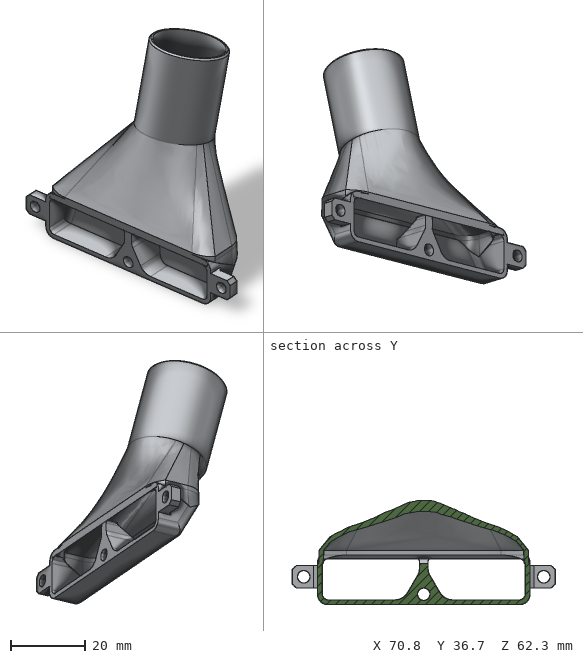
import cadquery as cq
import math

overall_width = 70.8
body_half_width = 28.6
lean_angle = 30.0
floor_depth = 7.9
flange_height = 14.1
wall = 1.3
front_corner_radius = 2.8
back_edge_radius = 3.0
heel_radius = 1.8

collar_bottom = 13.3
collar_top = 14.6
collar_depth = 15.5
collar_half_width = 28.2
collar_back_radius = 6.0
collar_front_flat = 22.1
collar_front_setback = 2.4

tube_tilt = 15.0
tube_outer_radius = 11.0
tube_inner_radius = 10.0
tube_length = 25.0
tube_chamfer = 0.5
tube_base_y = 19.69
tube_base_z = 35.4
front_seam_angle = 18.0
back_seam_angle = 25.0
side_seam_angle = 6.0

screw_diameter = 3.3
ear_hole_x = 32.3
ear_center_z = 7.5
ear_height = 6.1
ear_thickness = 2.9
ear_corner_chamfer = 1.1
ear_root_chamfer = 1.0
center_hole_z = 2.8

opening_top = 12.3
opening_corner_radius = 1.6
divider_half_width = 1.2
divider_knee_z = 8.7
divider_flare_angle = 30.0
divider_foot_radius = 4.0
divider_knee_radius = 3.0
divider_top_radius = 0.6

front_wall = (flange_height - opening_top) / 2
lean = math.tan(math.radians(lean_angle))
lean_sin = math.sin(math.radians(lean_angle))
lean_cos = math.cos(math.radians(lean_angle))
shoulder_y = (floor_depth + flange_height * lean) * lean_cos**2
shoulder_z = flange_height - shoulder_y * lean
corner_mid = math.sqrt(0.5)
pick_margin = 0.1


def leaning_block(inset, edge_radius):
    """Box with a vertical front and a leaning back, rounded along its back edges."""
    half_width = body_half_width - inset
    back_at_floor = floor_depth - inset / lean_cos + inset * lean
    back_at_top = back_at_floor + (collar_top - inset) * lean
    side_outline = [(0, inset), (back_at_floor, inset), (back_at_top, collar_top), (0, collar_top)]
    return (
        cq.Workplane("YZ")
        .polyline(side_outline)
        .close()
        .extrude(half_width, both=True)
        .edges("not(|X or |Y or |Z)")
        .edges(">Y")
        .fillet(edge_radius)
    )


def below_slant(front_inset):
    """Space under the plane square to the back wall, behind the sloping front wall."""
    side_outline = [
        (0, 0),
        (flange_height / lean, 0),
        (front_inset * lean_cos, flange_height - front_inset * lean_sin),
    ]
    if front_inset > 0:
        side_outline.append((0, flange_height - 2 * front_inset))
    return cq.Workplane("YZ").polyline(side_outline).close().extrude(overall_width, both=True)


def mouth_outer():
    """Outside of the mouth, rounded around its front outline and along its heel."""
    outline = (
        cq.Workplane("XZ")
        .center(0, flange_height / 2)
        .rect(2 * body_half_width, flange_height)
        .extrude(-collar_depth)
        .edges("|Y")
        .fillet(front_corner_radius)
    )
    block = leaning_block(0, back_edge_radius)
    block = block.edges("|X").edges("<Z").edges(">Y").fillet(heel_radius)
    return block.intersect(outline).intersect(below_slant(0))


def section_wire(plane, half_width, front, back, front_flat, setback, radius):
    """Closed outline with shallow front corner arcs and round back corners."""
    corner_width = half_width - front_flat
    corner_radius = (corner_width**2 + setback**2) / (2 * setback)
    half_turn = math.asin(corner_width / corner_radius) / 2
    front_mid_x = front_flat + corner_radius * math.sin(half_turn)
    front_mid_y = front + corner_radius * (1 - math.cos(half_turn))
    back_mid_x = half_width - radius * (1 - corner_mid)
    back_mid_y = back - radius * (1 - corner_mid)
    return (
        cq.Workplane(plane)
        .moveTo(-front_flat, front)
        .lineTo(front_flat, front)
        .threePointArc((front_mid_x, front_mid_y), (half_width, front + setback))
        .lineTo(half_width, back - radius)
        .threePointArc((back_mid_x, back_mid_y), (half_width - radius, back))
        .lineTo(radius - half_width, back)
        .threePointArc((-back_mid_x, back_mid_y), (-half_width, back - radius))
        .lineTo(-half_width, front + setback)
        .threePointArc((-front_mid_x, front_mid_y), (-front_flat, front))
        .close()
        .val()
    )


def collar_section(inset, half_width, z):
    """Level cross-section through the collar, moved inward by the inset."""
    return section_wire(
        cq.Plane(origin=(0, 0, z)),
        half_width - inset,
        inset,
        collar_depth - inset,
        collar_front_flat - inset,
        collar_front_setback,
        collar_back_radius - inset,
    )


tube_plane = cq.Plane(
    origin=(0, tube_base_y, tube_base_z),
    xDir=(1, 0, 0),
    normal=(0, math.sin(math.radians(tube_tilt)), math.cos(math.radians(tube_tilt))),
)


def tube_section(radius):
    """Circle at the foot of the tube, split where the funnel seams arrive."""
    right_side = [-front_seam_angle, -side_seam_angle, side_seam_angle, back_seam_angle]
    left_side = [180 - angle for angle in reversed(right_side)]
    stops = right_side + left_side

    def point(angle):
        """Point on the circle at an angle from the X axis."""
        turn = math.radians(angle)
        return (radius * math.cos(turn), radius * math.sin(turn))

    start = stops[-1] - 360
    path = cq.Workplane(tube_plane).moveTo(*point(start))
    for stop in stops:
        path = path.threePointArc(point((start + stop) / 2), point(stop))
        start = stop
    return path.wire().val()


def ruled_loft(lower, upper):
    """Solid with straight rulings between two closed outlines."""
    return cq.Workplane(cq.Solid.makeLoft([lower, upper], True))


def upper_duct(inset, front_inset, tube_radius):
    """Collar, funnel and tube volume above the mouth, moved inward by the inset."""
    shoulder_section = collar_section(inset, body_half_width, shoulder_z)
    collar_base = collar_section(inset, collar_half_width, collar_bottom)
    collar_rim = collar_section(inset, collar_half_width, collar_top)
    shoulder = ruled_loft(shoulder_section, collar_base)
    shoulder = shoulder.intersect(leaning_block(inset, back_edge_radius - inset))
    shoulder = shoulder.cut(below_slant(front_inset))
    collar = ruled_loft(collar_base, collar_rim)
    funnel = ruled_loft(collar_rim, tube_section(tube_radius))
    tube = cq.Workplane(tube_plane).circle(tube_radius).extrude(tube_length)
    return shoulder.union(collar).union(funnel).union(tube)


def edges_near(half_width, z):
    """Picks the edges along Y at one height, up to a half width from the middle."""
    return cq.selectors.BoxSelector(
        (-half_width - pick_margin, 0, z - pick_margin),
        (half_width + pick_margin, collar_depth, z + pick_margin),
    )


def opening_outline():
    """Prism of the two mouth openings, with the flared divider left between them."""
    flare = math.tan(math.radians(divider_flare_angle))
    foot_half_width = divider_half_width + (divider_knee_z - wall) * flare
    divider_outline = [
        (-foot_half_width, wall),
        (foot_half_width, wall),
        (divider_half_width, divider_knee_z),
        (divider_half_width, opening_top),
        (-divider_half_width, opening_top),
        (-divider_half_width, divider_knee_z),
    ]
    divider = cq.Workplane("XZ").polyline(divider_outline).close().extrude(-collar_depth)
    openings = (
        cq.Workplane("XZ")
        .center(0, (wall + opening_top) / 2)
        .rect(2 * (body_half_width - wall), opening_top - wall)
        .extrude(-collar_depth)
        .edges("|Y")
        .fillet(opening_corner_radius)
        .cut(divider)
    )
    divider_rounds = [
        (foot_half_width, wall, divider_foot_radius),
        (divider_half_width, divider_knee_z, divider_knee_radius),
        (divider_half_width, opening_top, divider_top_radius),
    ]
    for half_width, z, radius in divider_rounds:
        openings = openings.edges("|Y").edges(edges_near(half_width, z)).fillet(radius)
    return openings


def mouth_cavity():
    """Both mouth pockets, joined into one chamber above the divider."""
    above_divider = (
        cq.Workplane("XY")
        .workplane(offset=opening_top)
        .rect(overall_width, 2 * collar_depth)
        .extrude(collar_top - opening_top)
    )
    block = leaning_block(wall, back_edge_radius - wall).intersect(below_slant(front_wall))
    return block.intersect(opening_outline()).union(block.intersect(above_divider))


def ear(side):
    """Mounting ear on one side, with a chamfered root behind it."""
    tip_x = overall_width / 2
    inner_x = body_half_width - wall / 2
    plate = (
        cq.Workplane("XZ")
        .center((inner_x + tip_x) / 2, ear_center_z)
        .rect(tip_x - inner_x, ear_height)
        .extrude(-ear_thickness)
        .edges("|Y and >X")
        .chamfer(ear_corner_chamfer)
    )
    root = (
        cq.Workplane("XY")
        .workplane(offset=ear_center_z - ear_height / 2)
        .moveTo(inner_x, ear_thickness)
        .lineTo(body_half_width + ear_root_chamfer, ear_thickness)
        .lineTo(body_half_width, ear_thickness + ear_root_chamfer)
        .lineTo(inner_x, ear_thickness + ear_root_chamfer)
        .close()
        .extrude(ear_height)
    )
    solid = plate.union(root)
    return solid if side > 0 else solid.mirror("YZ")


def screw_hole(x, z):
    """Cutter for a screw hole running straight back from the front face."""
    return (
        cq.Workplane("XZ")
        .center(x, z)
        .circle(screw_diameter / 2)
        .extrude(-collar_depth)
    )


outer = mouth_outer().union(upper_duct(0, 0, tube_outer_radius))
tube_end = cq.selectors.DirectionMinMaxSelector(tube_plane.zDir)
outer = outer.faces(tube_end).edges().chamfer(tube_chamfer)
cavity = mouth_cavity().union(upper_duct(wall, front_wall, tube_inner_radius))
result = outer.cut(cavity)
for side in (-1, 1):
    result = result.union(ear(side)).cut(screw_hole(side * ear_hole_x, ear_center_z))
result = result.cut(screw_hole(0, center_hole_z))